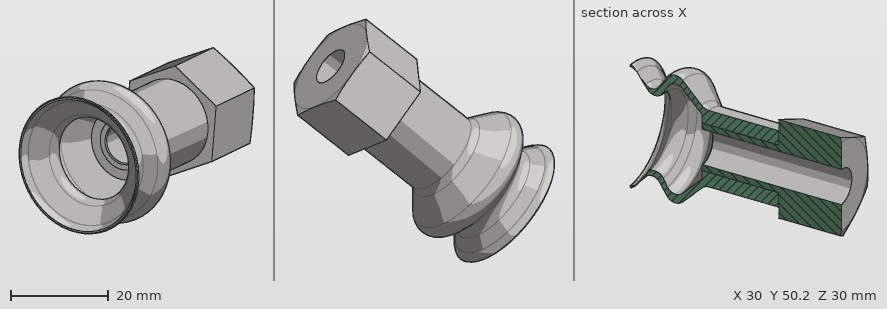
import cadquery as cq
import math

LENGTH = 50.2

NUT_FLATS = 21.0
NUT_LENGTH = 14.95
NUT_TURN = 25.0
NUT_CHAMFER_DROP = 0.35
NUT_FACE_RADIUS = 10.45
STUB_RADIUS = 11.0 / 2
BORE_RADIUS = 8.2 / 2
BORE_CHAMFER = 0.25

NECK_RADIUS = 18.0 / 2
NECK_FILLET = 2.5
NECK_FILLET_START = 18.75
CONE_ANGLE = 45.0
UNDER_ANGLE = 60.0
MOUTH_ANGLE = 53.0
FOLD_RADIUS = 30.0 / 2
FOLD_ARC = 2.5
FOLD_Y = 10.75
GROOVE_RADIUS = 10.25
GROOVE_ARC = 2.05
GROOVE_Y = 5.15
THROAT_RADIUS = 8.8
THROAT_ARC = 2.25
THROAT_Y = 5.9
INNER_FOLD_RADIUS = 12.85
INNER_FOLD_ARC = 2.25
INNER_FOLD_Y = 10.85
FLOOR_RADIUS = 7.65
LIP_BEND_Y = 1.55
LIP_BEND_RADIUS = 13.15
LIP_RADIUS = 14.5
LIP_EDGE = 0.2
LIP_FACE_RADIUS = 14.3
LIP_MOUTH_RADIUS = 13.95
MOUTH_BEND_RADIUS = 13.1
MOUTH_BEND_Y = 1.55
LIP_BULGE = 0.1

nut_start = LENGTH - NUT_LENGTH
corner_radius = NUT_FLATS / 2 / math.cos(math.radians(30))


def arc_point(center, radius, degrees):
    """Point on an arc in the (radius, Y) half plane, 0 degrees pointing outward."""
    angle = math.radians(degrees)
    return (center[0] + radius * math.cos(angle), center[1] + radius * math.sin(angle))


def add_arc(profile, center, radius, start, end):
    """Draw a line to the start of an arc, then the arc itself."""
    profile = profile.lineTo(*arc_point(center, radius, start))
    middle = arc_point(center, radius, (start + end) / 2)
    return profile.threePointArc(middle, arc_point(center, radius, end))


def bowed_middle(start, end):
    """Middle point of a shallow arc that bows away from the axis."""
    return ((start[0] + end[0]) / 2 + LIP_BULGE, (start[1] + end[1]) / 2 + LIP_BULGE)


def revolve_about_y(profile):
    return profile.close().revolve(360, (0, 0, 0), (0, 1, 0))


fold_center = (FOLD_RADIUS - FOLD_ARC, FOLD_Y)
groove_center = (GROOVE_RADIUS + GROOVE_ARC, GROOVE_Y)
throat_center = (THROAT_RADIUS + THROAT_ARC, THROAT_Y)
inner_fold_center = (INNER_FOLD_RADIUS - INNER_FOLD_ARC, INNER_FOLD_Y)
fillet_center = (NECK_RADIUS + NECK_FILLET, NECK_FILLET_START)

inner_cone_start = arc_point(inner_fold_center, INNER_FOLD_ARC, 90 - CONE_ANGLE)
floor_y = inner_cone_start[1] + (inner_cone_start[0] - FLOOR_RADIUS) / math.tan(math.radians(CONE_ANGLE))


def make_bellows():
    lip_bend = (LIP_BEND_RADIUS, LIP_BEND_Y)
    lip_edge = (LIP_RADIUS, LIP_EDGE)
    mouth_bend = (MOUTH_BEND_RADIUS, MOUTH_BEND_Y)
    mouth = (LIP_MOUTH_RADIUS, 0)

    profile = cq.Workplane("XY").moveTo(STUB_RADIUS, nut_start).lineTo(NECK_RADIUS, nut_start)
    profile = add_arc(profile, fillet_center, NECK_FILLET, 180, 180 + CONE_ANGLE)
    profile = add_arc(profile, fold_center, FOLD_ARC, 90 - CONE_ANGLE, -UNDER_ANGLE)
    profile = add_arc(profile, groove_center, GROOVE_ARC, 180 - UNDER_ANGLE, 180 + CONE_ANGLE)
    profile = profile.lineTo(*lip_bend).threePointArc(bowed_middle(lip_bend, lip_edge), lip_edge)

    profile = profile.lineTo(LIP_FACE_RADIUS, 0).lineTo(*mouth)
    profile = profile.threePointArc(bowed_middle(mouth, mouth_bend), mouth_bend)
    profile = add_arc(profile, throat_center, THROAT_ARC, 180 + MOUTH_ANGLE, 180 - UNDER_ANGLE)
    profile = add_arc(profile, inner_fold_center, INNER_FOLD_ARC, -UNDER_ANGLE, 90 - CONE_ANGLE)
    profile = profile.lineTo(FLOOR_RADIUS, floor_y).lineTo(STUB_RADIUS, floor_y)
    return revolve_about_y(profile)


def make_nut():
    """Hexagon trimmed by a cone that bevels the corners of its free end."""
    corners = []
    for index in range(6):
        angle = math.radians(NUT_TURN + 60 * index)
        corners.append((corner_radius * math.cos(angle), corner_radius * math.sin(angle)))
    hexagon = (
        cq.Workplane("XZ", origin=(0, LENGTH, 0))
        .polyline(corners)
        .close()
        .extrude(NUT_LENGTH)
    )
    envelope = (
        cq.Workplane("XY")
        .moveTo(0, nut_start)
        .lineTo(corner_radius, nut_start)
        .lineTo(corner_radius, LENGTH - NUT_CHAMFER_DROP)
        .lineTo(NUT_FACE_RADIUS, LENGTH)
        .lineTo(0, LENGTH)
    )
    return hexagon.intersect(revolve_about_y(envelope))


def make_fitting():
    stub = cq.Workplane("XZ", origin=(0, nut_start, 0)).circle(STUB_RADIUS).extrude(nut_start - floor_y)
    bore = (
        cq.Workplane("XY")
        .moveTo(0, floor_y)
        .lineTo(BORE_RADIUS + BORE_CHAMFER, floor_y)
        .lineTo(BORE_RADIUS, floor_y + BORE_CHAMFER)
        .lineTo(BORE_RADIUS, LENGTH)
        .lineTo(0, LENGTH)
    )
    return make_nut().union(stub).cut(revolve_about_y(bore)).solids()


bellows = make_bellows()
fitting = make_fitting()

result = cq.Compound.makeCompound([bellows.val(), fitting.val()])